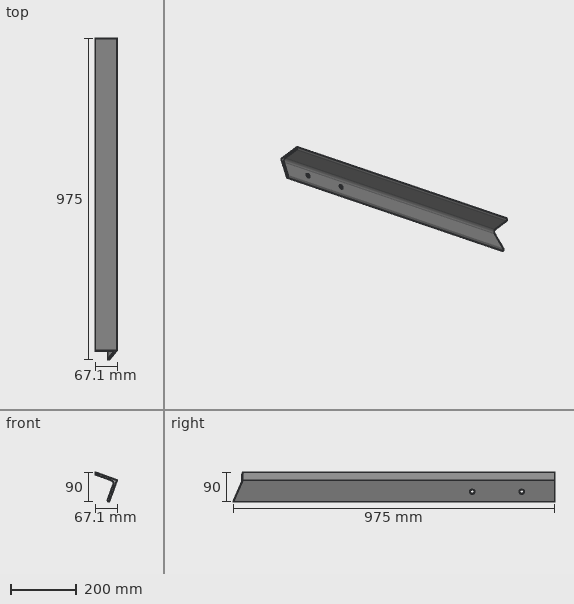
import cadquery as cq
import math

length = 975.0
overall_height = 90.0
thickness = 7.0
root_radius = 9.0
toe_radius = root_radius / 2
tilt = 20.0
miter_angle = 22.5

hole_radius = 7.0
hole_end_distance = 100.0
hole_pitch = 150.0
hole_count = 2
hole_drop = 38.0

leg = overall_height / (math.sin(math.radians(tilt)) + math.cos(math.radians(tilt)))
miter_run = leg * math.tan(math.radians(miter_angle))


def angle_bar():
    """Square-ended bar: outer corner on the Y axis, legs along -X and -Z."""
    toe_mid = toe_radius * (1 - math.sqrt(0.5))
    root_mid = root_radius * (1 - math.sqrt(0.5))
    inner_root = thickness + root_radius
    profile = (
        cq.Workplane("XZ")
        .moveTo(0, 0)
        .lineTo(-leg, 0)
        .lineTo(-leg, toe_radius - thickness)
        .threePointArc(
            (toe_mid - leg, toe_mid - thickness),
            (toe_radius - leg, -thickness),
        )
        .lineTo(-inner_root, -thickness)
        .threePointArc(
            (-thickness - root_mid, -thickness - root_mid),
            (-thickness, -inner_root),
        )
        .lineTo(-thickness, toe_radius - leg)
        .threePointArc(
            (toe_mid - thickness, toe_mid - leg),
            (toe_radius - thickness, -leg),
        )
        .lineTo(0, -leg)
        .close()
    )
    return profile.extrude(length)


def miter_cutter():
    """Wedge that shortens the -Y end towards the top of the bar."""
    return (
        cq.Workplane("YZ")
        .polyline([(-length, -leg), (miter_run - length, 0), (-length, 0)])
        .close()
        .extrude(-2 * leg)
    )


def web_holes():
    """Row of bolt holes through the web, near the square +Y end."""
    centers = [(-hole_end_distance - i * hole_pitch, -hole_drop) for i in range(hole_count)]
    return (
        cq.Workplane("YZ")
        .pushPoints(centers)
        .circle(hole_radius)
        .extrude(-2 * thickness)
    )


straight_bar = angle_bar().cut(miter_cutter()).cut(web_holes())
result = straight_bar.rotate((0, 0, 0), (0, 1, 0), tilt)